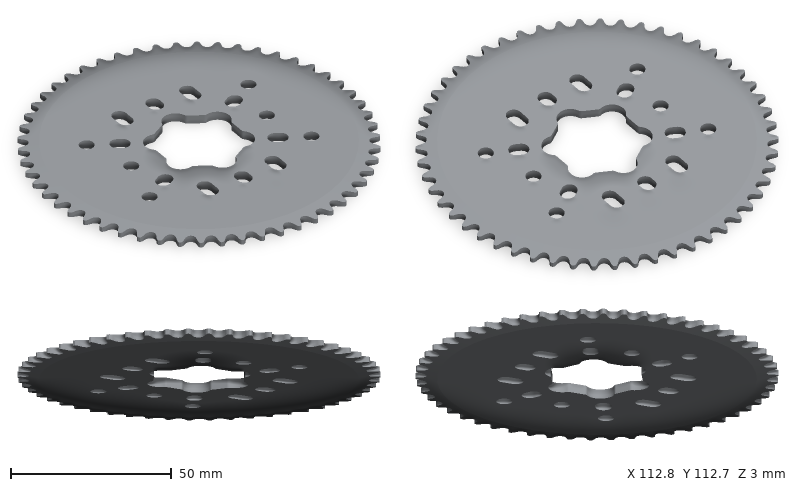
import cadquery as cq
import math

TOOTH_COUNT = 54
PITCH = 6.35
ROLLER_DIAMETER = 3.3
PITCH_RADIUS = PITCH / (2 * math.sin(math.pi / TOOTH_COUNT))
TIP_HEIGHT_RATIO = 0.6
OUTER_RADIUS = PITCH * (TIP_HEIGHT_RATIO + 1 / math.tan(math.pi / TOOTH_COUNT)) / 2
PITCH_ANGLE = 360 / TOOTH_COUNT

SEAT_CLEARANCE = 0.0381
SEAT_RADIUS = 0.5025 * ROLLER_DIAMETER + SEAT_CLEARANCE
WORKING_CENTER_OFFSET = 0.8 * ROLLER_DIAMETER
TIP_CENTER_OFFSET = 1.4 * ROLLER_DIAMETER
SEAT_ANGLE = 35 + 60 / TOOTH_COUNT
WORKING_ANGLE = 18 - 56 / TOOTH_COUNT
TIP_ANGLE = 17 - 64 / TOOTH_COUNT
WORKING_RADIUS = WORKING_CENTER_OFFSET + SEAT_RADIUS
TIP_ARC_RADIUS = (
    WORKING_CENTER_OFFSET * math.cos(math.radians(WORKING_ANGLE))
    + TIP_CENTER_OFFSET * math.cos(math.radians(TIP_ANGLE))
    - WORKING_RADIUS
)

THICKNESS = 3.0
TIP_THICKNESS = 1.65
FLAT_FACE_RADIUS = 49.7

LOBE_COUNT = 6
BORE_ACROSS_FLATS = 28.2
LOBE_CENTER_RADIUS = 13.05
LOBE_RADIUS = 4.4
LOBE_BLEND_RADIUS = 1.25

HOLE_DIAMETER = 5.0
BOLT_CIRCLE_RADIUS = 25.4
INNER_BOLT_CIRCLE_RADIUS = 23.8125
RADIAL_SLOT_COUNT = 6
OUTER_BOLT_CIRCLE_RADIUS = 35.0
GRID_X = 25.4
GRID_Y = GRID_X / 2


def polar(radius, degrees):
    angle = math.radians(degrees)
    return radius * math.cos(angle), radius * math.sin(angle)


def rotated(point, degrees):
    angle = math.radians(degrees)
    x, y = point
    return (
        x * math.cos(angle) - y * math.sin(angle),
        x * math.sin(angle) + y * math.cos(angle),
    )


def on_arc(center, radius, degrees):
    x, y = polar(radius, degrees)
    return center[0] + x, center[1] + y


def flank_points():
    """Gap side from its bottom to the tooth tip at +Y, for a gap that opens along +X.

    The points are the gap bottom, then the middle and end of the seating arc, the middle and end
    of the working arc, and the start, middle and end of the tip arc.
    """
    bottom_direction = 180
    seat_center = (PITCH_RADIUS, 0)
    seat_end_direction = 90 + SEAT_ANGLE
    working_center = on_arc(seat_center, WORKING_CENTER_OFFSET, seat_end_direction - 180)
    working_end_direction = seat_end_direction - WORKING_ANGLE
    tip_center = on_arc(seat_center, TIP_CENTER_OFFSET, 90 + PITCH_ANGLE / 2)
    tip_start_direction = working_end_direction - 180

    center_distance = math.hypot(*tip_center)
    center_direction = math.degrees(math.atan2(tip_center[1], tip_center[0]))
    cosine = (OUTER_RADIUS**2 - center_distance**2 - TIP_ARC_RADIUS**2) / (
        2 * center_distance * TIP_ARC_RADIUS
    )
    tip_end_direction = center_direction - math.degrees(math.acos(cosine))

    seat_mid_direction = (bottom_direction + seat_end_direction) / 2
    working_mid_direction = (seat_end_direction + working_end_direction) / 2
    tip_mid_direction = (tip_start_direction + tip_end_direction) / 2
    return [
        on_arc(seat_center, SEAT_RADIUS, bottom_direction),
        on_arc(seat_center, SEAT_RADIUS, seat_mid_direction),
        on_arc(seat_center, SEAT_RADIUS, seat_end_direction),
        on_arc(working_center, WORKING_RADIUS, working_mid_direction),
        on_arc(working_center, WORKING_RADIUS, working_end_direction),
        on_arc(tip_center, TIP_ARC_RADIUS, tip_start_direction),
        on_arc(tip_center, TIP_ARC_RADIUS, tip_mid_direction),
        on_arc(tip_center, TIP_ARC_RADIUS, tip_end_direction),
    ]


def add_tooth(outline, tooth_direction):
    """Continue the outline over one tooth, from gap bottom to the next gap bottom."""
    rising = flank_points()
    falling = [(x, -y) for x, y in rising]

    gap_direction = tooth_direction - PITCH_ANGLE / 2
    seat_mid, seat_end, work_mid, work_end, tip_start, tip_mid, tip_end = [
        rotated(point, gap_direction) for point in rising[1:]
    ]
    outline = outline.threePointArc(seat_mid, seat_end)
    outline = outline.threePointArc(work_mid, work_end)
    outline = outline.lineTo(*tip_start)
    outline = outline.threePointArc(tip_mid, tip_end)

    next_gap_direction = tooth_direction + PITCH_ANGLE / 2
    bottom, seat_mid, seat_end, work_mid, work_end, tip_start, tip_mid, tip_end = [
        rotated(point, next_gap_direction) for point in falling
    ]
    outline = outline.threePointArc(polar(OUTER_RADIUS, tooth_direction), tip_end)
    outline = outline.threePointArc(tip_mid, tip_start)
    outline = outline.lineTo(*work_end)
    outline = outline.threePointArc(work_mid, seat_end)
    return outline.threePointArc(seat_mid, bottom)


def toothed_plate():
    """Full-thickness plate with a tooth centered on each end of the X axis."""
    gap_bottom_radius = PITCH_RADIUS - SEAT_RADIUS
    outline = cq.Workplane("XY").moveTo(*polar(gap_bottom_radius, -PITCH_ANGLE / 2))
    for tooth in range(TOOTH_COUNT):
        outline = add_tooth(outline, tooth * PITCH_ANGLE)
    return outline.close().extrude(THICKNESS)


def tapered_disc():
    """Disc that thins toward the rim on both faces."""
    rim_low = (THICKNESS - TIP_THICKNESS) / 2
    rim_high = THICKNESS - rim_low
    return (
        cq.Workplane("XZ")
        .moveTo(0, 0)
        .lineTo(FLAT_FACE_RADIUS, 0)
        .lineTo(OUTER_RADIUS, rim_low)
        .lineTo(OUTER_RADIUS, rim_high)
        .lineTo(FLAT_FACE_RADIUS, THICKNESS)
        .lineTo(0, THICKNESS)
        .close()
        .revolve(360, (0, 0, 0), (0, 1, 0))
    )


def lobed_bore():
    """Hexagon with two flats across Y, a round lobe at each corner and blended lobe ends."""
    corner_diameter = BORE_ACROSS_FLATS / math.cos(math.pi / LOBE_COUNT)
    hexagon = cq.Workplane("XY").polygon(LOBE_COUNT, corner_diameter).extrude(THICKNESS)
    lobes = (
        cq.Workplane("XY")
        .polarArray(LOBE_CENTER_RADIUS, 0, 360, LOBE_COUNT)
        .circle(LOBE_RADIUS)
        .extrude(THICKNESS)
    )
    lobe_middle_radius = LOBE_CENTER_RADIUS + LOBE_RADIUS / 2

    def is_lobe_end(edge):
        center = edge.Center()
        return math.hypot(center.x, center.y) < lobe_middle_radius

    bore = hexagon.union(lobes)
    return bore.edges("|Z").filter(is_lobe_end).fillet(LOBE_BLEND_RADIUS)


def round_holes():
    """Two holes on the Y axis and four on the outer bolt circle."""
    centers = [polar(BOLT_CIRCLE_RADIUS, angle) for angle in (90, 270)]
    centers += [polar(OUTER_BOLT_CIRCLE_RADIUS, angle) for angle in (60, 120, 240, 300)]
    return cq.Workplane("XY").pushPoints(centers).circle(HOLE_DIAMETER / 2).extrude(THICKNESS)


def radial_slots():
    """Short slots joining the inner bolt circle to the main one."""
    length = BOLT_CIRCLE_RADIUS - INNER_BOLT_CIRCLE_RADIUS + HOLE_DIAMETER
    middle = (BOLT_CIRCLE_RADIUS + INNER_BOLT_CIRCLE_RADIUS) / 2
    return (
        cq.Workplane("XY")
        .polarArray(middle, 0, 360, RADIAL_SLOT_COUNT)
        .slot2D(length, HOLE_DIAMETER)
        .extrude(THICKNESS)
    )


def side_slots():
    """Four slots along X, each from the main bolt circle out to GRID_X."""
    inner_x = math.sqrt(BOLT_CIRCLE_RADIUS**2 - GRID_Y**2)
    length = GRID_X - inner_x + HOLE_DIAMETER
    middle_x = (GRID_X + inner_x) / 2
    return (
        cq.Workplane("XY")
        .rarray(2 * middle_x, 2 * GRID_Y, 2, 2)
        .slot2D(length, HOLE_DIAMETER)
        .extrude(THICKNESS)
    )


result = (
    toothed_plate()
    .intersect(tapered_disc())
    .cut(lobed_bore())
    .cut(round_holes())
    .cut(radial_slots())
    .cut(side_slots())
)